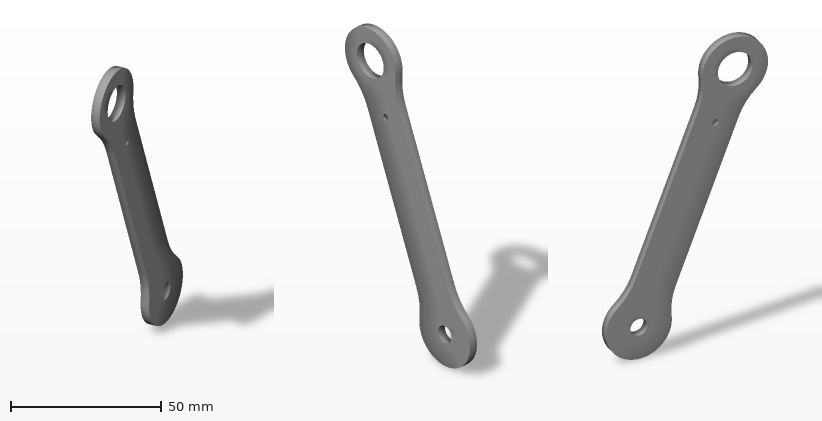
import cadquery as cq
import math

thickness = 3.2
overall_width = 59.7
overall_height = 114.5
eye_radius = 12.1
arm_half_width = 8.0
neck_radius = 24.0
large_bore = 12.7
small_bore = 6.3
pin_hole = 2.4
pin_hole_distance = 20.0

span_y = overall_width - 2 * eye_radius
span_z = overall_height - 2 * eye_radius
eye_spacing = math.hypot(span_y, span_z)
tilt = math.degrees(math.atan2(span_y, span_z))
half_spacing = eye_spacing / 2

neck_center_u = arm_half_width + neck_radius
neck_center_dist = eye_radius + neck_radius
neck_center_v = half_spacing - math.sqrt(neck_center_dist**2 - neck_center_u**2)
neck_angle = math.acos(neck_center_u / neck_center_dist)
eye_tangent_u = eye_radius * math.cos(neck_angle)
eye_tangent_v = half_spacing - eye_radius * math.sin(neck_angle)
neck_mid_u = neck_center_u - neck_radius * math.cos(neck_angle / 2)
neck_mid_v = neck_center_v + neck_radius * math.sin(neck_angle / 2)


def upright_plate():
    """Plate with its arm along Z, the large-bore end on top."""
    return (
        cq.Workplane("YZ", origin=(-thickness / 2, 0, 0))
        .moveTo(arm_half_width, -neck_center_v)
        .lineTo(arm_half_width, neck_center_v)
        .threePointArc((neck_mid_u, neck_mid_v), (eye_tangent_u, eye_tangent_v))
        .threePointArc((0, half_spacing + eye_radius), (-eye_tangent_u, eye_tangent_v))
        .threePointArc((-neck_mid_u, neck_mid_v), (-arm_half_width, neck_center_v))
        .lineTo(-arm_half_width, -neck_center_v)
        .threePointArc((-neck_mid_u, -neck_mid_v), (-eye_tangent_u, -eye_tangent_v))
        .threePointArc((0, -half_spacing - eye_radius), (eye_tangent_u, -eye_tangent_v))
        .threePointArc((neck_mid_u, -neck_mid_v), (arm_half_width, -neck_center_v))
        .close()
        .extrude(thickness)
    )


def through_hole(diameter, height):
    """Cutter on the arm axis at the given height, passing through the plate."""
    return (
        cq.Workplane("YZ", origin=(-thickness / 2, 0, 0))
        .center(0, height)
        .circle(diameter / 2)
        .extrude(thickness)
    )


plate = upright_plate()
holes = [
    (large_bore, half_spacing),
    (pin_hole, half_spacing - pin_hole_distance),
    (small_bore, -half_spacing),
]
for diameter, height in holes:
    plate = plate.cut(through_hole(diameter, height))

result = plate.rotate((0, 0, 0), (1, 0, 0), tilt)